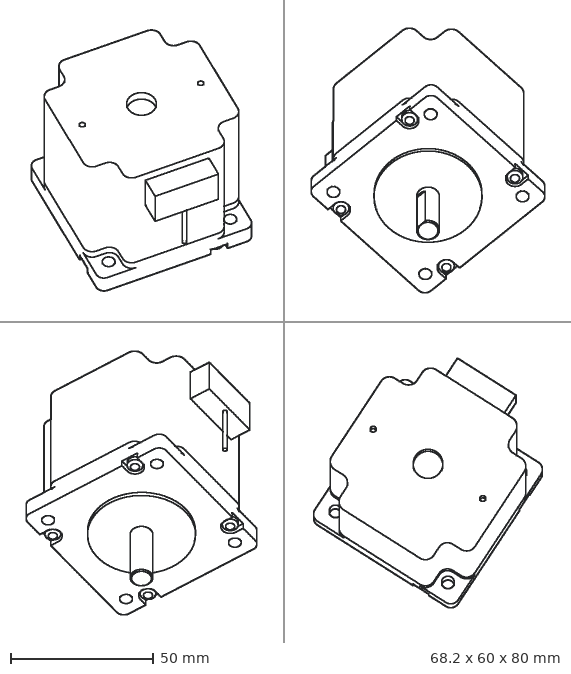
import cadquery as cq


motor_width = 60.0
half_width = motor_width / 2
arm_half_width = 19.5
outline_fillet = 3.5

cap_height = 10.0
flange_thickness = 7.0
flange_corner_radius = 3.0
mount_hole_spacing = 47.1
mount_hole_diameter = 4.5
pilot_diameter = 38.1
pilot_height = 1.6

screw_side_offset = 16.3
screw_edge_distance = 3.3
screw_slot_width = 6.6
screw_slot_depth = 2.4
screw_head_diameter = 5.6
screw_rim_height = 1.4
screw_crown_height = 0.8
screw_crown_diameter = 3.2

shaft_diameter = 8.0
shaft_reach = 24.0
shaft_tip_chamfer = 0.5
shaft_flat_depth = 0.5
shaft_flat_length = 20.0

motor_height = 56.0
rear_bore_diameter = 10.5
rear_bore_depth = 3.5
rear_hole_diameter = 2.1
rear_hole_offset = 23.0
rear_hole_depth = 4.0
drill_tip_height = 0.6

outlet_length = 8.2
outlet_width = 24.6
outlet_height = 13.6
outlet_top_gap = 3.4
cable_diameter = 1.5
cable_length = 19.3
cable_axis_x = 36.2


def cross_prism(bottom_z, height):
    """Square with its corners cut away as square notches, all vertical edges rounded."""
    arm_width = 2 * arm_half_width
    plane = cq.Workplane("XY").workplane(offset=bottom_z)
    arm_along_x = plane.rect(motor_width, arm_width).extrude(height)
    arm_along_y = plane.rect(arm_width, motor_width).extrude(height)
    return arm_along_x.union(arm_along_y).edges("|Z").fillet(outline_fillet)


def screw_slot():
    """Round-ended slot, open to the -Y side, that holds a screw head."""
    axis_y = screw_edge_distance - half_width
    round_end = (
        cq.Workplane("XY").center(screw_side_offset, axis_y)
        .circle(screw_slot_width / 2).extrude(screw_slot_depth)
    )
    open_end = (
        cq.Workplane("XY").center(screw_side_offset, axis_y - screw_edge_distance / 2)
        .rect(screw_slot_width, screw_edge_distance).extrude(screw_slot_depth)
    )
    return round_end.union(open_end)


def screw_head():
    """Screw head standing on the slot floor: a cylindrical rim and a tapered crown."""
    rim_z = screw_slot_depth - screw_rim_height
    half_profile = [
        (0, screw_slot_depth),
        (screw_head_diameter / 2, screw_slot_depth),
        (screw_head_diameter / 2, rim_z),
        (screw_crown_diameter / 2, rim_z - screw_crown_height),
        (0, rim_z - screw_crown_height),
    ]
    head = cq.Workplane("XZ").polyline(half_profile).close().revolve(360, (0, 0), (0, 1))
    return head.translate((screw_side_offset, screw_edge_distance - half_width, 0))


def shaft():
    """Output shaft with a chamfered tip and a flat on its +Y side."""
    round_shaft = (
        cq.Workplane("XY").circle(shaft_diameter / 2).extrude(-shaft_reach)
        .faces("<Z").chamfer(shaft_tip_chamfer)
    )
    flat_y = shaft_diameter / 2 - shaft_flat_depth
    flat_cut = cq.Workplane("XY").box(
        shaft_diameter, shaft_flat_depth, shaft_flat_length, centered=(True, False, False)
    )
    return round_shaft.cut(flat_cut.translate((0, flat_y, -shaft_reach)))


def front_cap():
    """Square flange with a cross-shaped step behind it, a pilot, four screws and the shaft."""
    flange = (
        cq.Workplane("XY").rect(motor_width, motor_width).extrude(flange_thickness)
        .edges("|Z").fillet(flange_corner_radius)
    )
    step = cross_prism(flange_thickness, cap_height - flange_thickness)
    mount_holes = (
        cq.Workplane("XY").rect(mount_hole_spacing, mount_hole_spacing, forConstruction=True)
        .vertices().circle(mount_hole_diameter / 2).extrude(flange_thickness)
    )
    pilot = cq.Workplane("XY").circle(pilot_diameter / 2).extrude(-pilot_height)

    cap = flange.union(step).cut(mount_holes).union(pilot).union(shaft())
    for side in range(4):
        turn = side * 90
        cap = cap.cut(screw_slot().rotate((0, 0, 0), (0, 0, 1), turn))
        cap = cap.union(screw_head().rotate((0, 0, 0), (0, 0, 1), turn))
    return cap


def rear_hole(y):
    """Blind drilled hole in the rear face, with a conical bottom."""
    radius = rear_hole_diameter / 2
    half_profile = [
        (0, 0),
        (radius, 0),
        (radius, -rear_hole_depth),
        (0, -rear_hole_depth - drill_tip_height),
    ]
    hole = cq.Workplane("XZ").polyline(half_profile).close().revolve(360, (0, 0), (0, 1))
    return hole.translate((0, y, motor_height))


def cable_outlet():
    """Box on the +X side of the case with a cable hanging from it."""
    bottom_z = motor_height - outlet_top_gap - outlet_height
    box = cq.Workplane("XY").box(
        outlet_length, outlet_width, outlet_height, centered=(False, True, False)
    ).translate((half_width, 0, bottom_z))
    cable = (
        cq.Workplane("XY").workplane(offset=bottom_z).center(cable_axis_x, 0)
        .circle(cable_diameter / 2).extrude(-cable_length)
    )
    return box.union(cable)


def motor_case():
    """Cross-shaped case with a rear bore, two rear holes and the cable outlet."""
    rear_bore = (
        cq.Workplane("XY").workplane(offset=motor_height)
        .circle(rear_bore_diameter / 2).extrude(-rear_bore_depth)
    )
    case = cross_prism(cap_height, motor_height - cap_height).cut(rear_bore)
    for y in (-rear_hole_offset, rear_hole_offset):
        case = case.cut(rear_hole(y))
    return case.union(cable_outlet())


cap_body = front_cap()
case_body = motor_case()
result = cq.Compound.makeCompound([cap_body.val(), case_body.val()])